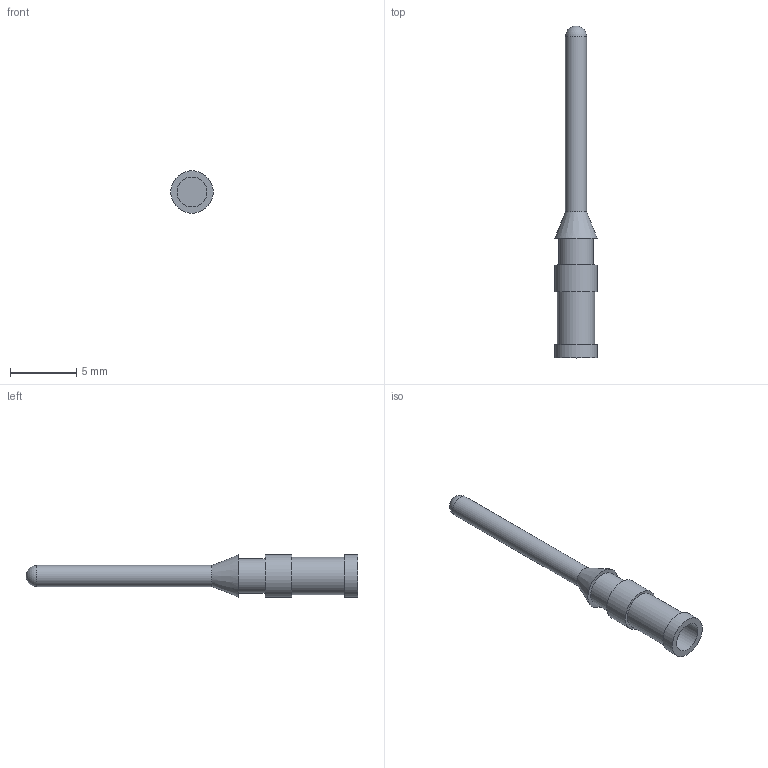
import cadquery as cq
import math

PIN_DIAMETER = 1.6
NECK_DIAMETER = 2.6
BARREL_DIAMETER = 2.8
COLLAR_DIAMETER = 3.2
BORE_DIAMETER = 2.25

RIM_LENGTH = 1.0
BARREL_LENGTH = 4.0
COLLAR_LENGTH = 2.0
NECK_LENGTH = 2.0
CONE_LENGTH = 2.0
TOTAL_LENGTH = 25.0
BORE_DEPTH = RIM_LENGTH + BARREL_LENGTH

pin_radius = PIN_DIAMETER / 2
neck_radius = NECK_DIAMETER / 2
barrel_radius = BARREL_DIAMETER / 2
collar_radius = COLLAR_DIAMETER / 2

rim_end = RIM_LENGTH
barrel_end = rim_end + BARREL_LENGTH
collar_end = barrel_end + COLLAR_LENGTH
neck_end = collar_end + NECK_LENGTH
cone_end = neck_end + CONE_LENGTH
dome_start = TOTAL_LENGTH - pin_radius


def make_contact_body():
    """Revolve the stepped half profile, with its hemispherical tip, about Y."""
    dome_mid_offset = pin_radius * math.sqrt(0.5)
    profile = (
        cq.Workplane("XY")
        .moveTo(0, 0)
        .lineTo(collar_radius, 0)
        .lineTo(collar_radius, rim_end)
        .lineTo(barrel_radius, rim_end)
        .lineTo(barrel_radius, barrel_end)
        .lineTo(collar_radius, barrel_end)
        .lineTo(collar_radius, collar_end)
        .lineTo(neck_radius, collar_end)
        .lineTo(neck_radius, neck_end)
        .lineTo(collar_radius, neck_end)
        .lineTo(pin_radius, cone_end)
        .lineTo(pin_radius, dome_start)
        .threePointArc(
            (dome_mid_offset, dome_start + dome_mid_offset),
            (0, TOTAL_LENGTH),
        )
        .close()
    )
    return profile.revolve(360, (0, 0, 0), (0, 1, 0))


def make_bore():
    """Blind, flat-bottomed wire bore entering from the open end."""
    return cq.Workplane("XZ").circle(BORE_DIAMETER / 2).extrude(-BORE_DEPTH)


result = make_contact_body().cut(make_bore())